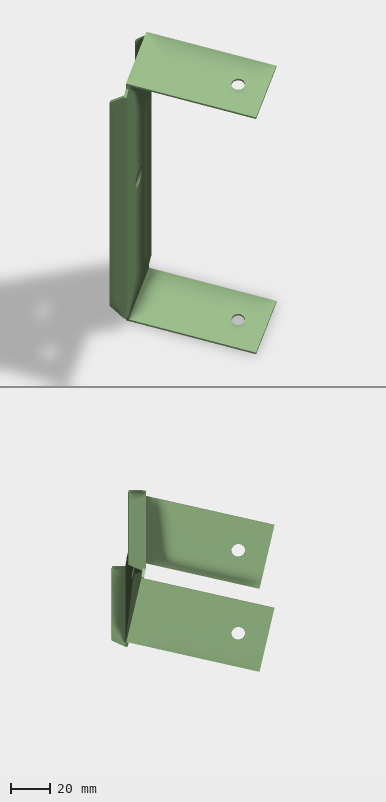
import cadquery as cq

height = 209.0
length = 77.3
width = 42.0
thickness = 1.5

flange_depth = 9.0
flange_shortfall = 0.6
flange_chamfer_rise = 7.7

arm_width = 34.0
notch_depth = 4.5
shoulder_drop = 2.5

arm_hole_diameter = 7.0
arm_hole_setback = 15.0
web_hole_diameter = 11.5

web_front = flange_depth
web_back = web_front - thickness
half_height = height / 2
half_width = width / 2
half_arm = arm_width / 2
shoulder_top = half_height - notch_depth
flange_top = shoulder_top - shoulder_drop


def make_web():
    upper = [
        (half_width, flange_top),
        (half_arm, shoulder_top),
        (half_arm, half_height),
        (-half_arm, half_height),
        (-half_arm, shoulder_top),
        (-half_width, flange_top),
    ]
    lower = [(-y, -z) for y, z in upper]
    plate = cq.Workplane("YZ", origin=(web_back, 0, 0)).polyline(upper + lower).close().extrude(thickness)
    hole = cq.Workplane("YZ", origin=(web_back, 0, 0)).circle(web_hole_diameter / 2).extrude(thickness)
    return plate.cut(hole)


def make_flange(y_start, edge_x):
    edge_top = flange_top - flange_chamfer_rise
    outline = [
        (web_front, flange_top),
        (web_back, flange_top),
        (edge_x, edge_top),
        (edge_x, -edge_top),
        (web_back, -flange_top),
        (web_front, -flange_top),
    ]
    return cq.Workplane("XZ", origin=(0, y_start, 0)).polyline(outline).close().extrude(-thickness)


def make_arm(z_start):
    arm_length = length - web_back
    hole_x = length - arm_hole_setback
    plate = cq.Workplane("XY").box(arm_length, arm_width, thickness, centered=(False, True, False))
    hole = cq.Workplane("XY").circle(arm_hole_diameter / 2).extrude(thickness)
    arm = plate.translate((web_back, 0, 0)).cut(hole.translate((hole_x, 0, 0)))
    return arm.translate((0, 0, z_start))


result = make_web()
result = result.union(make_flange(-half_width, 0))
result = result.union(make_flange(half_width - thickness, flange_shortfall))
for arm_z in (-half_height, half_height - thickness):
    result = result.union(make_arm(arm_z))